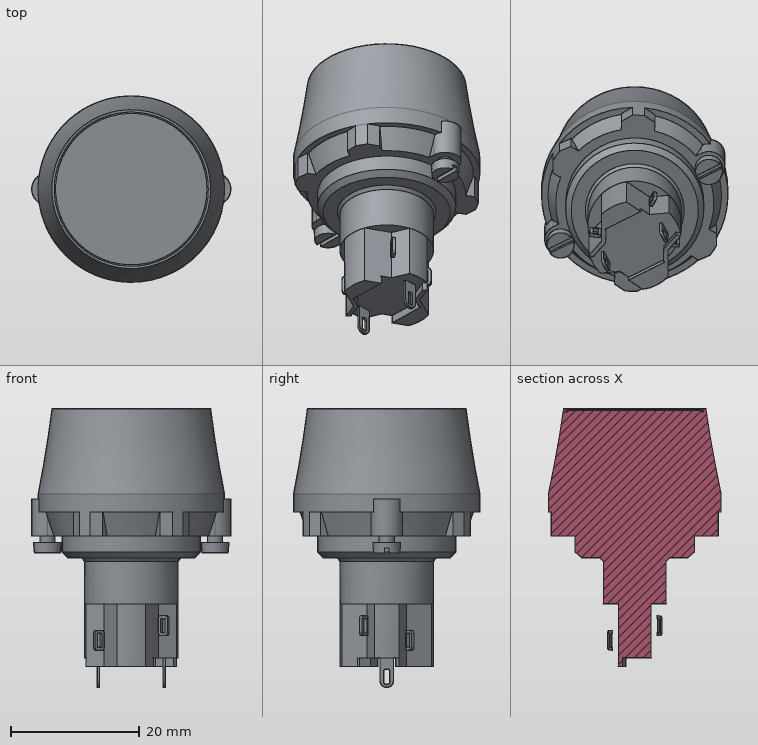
import cadquery as cq
import math

cap_top_z = 43.4
ring_top_z = 30.15
lug_top_z = 29.35
ring_bottom_z = 27.3
skirt_bottom_z = 23.55
screw_head_top_z = 22.6
collar_chamfer_z = 21.1
screw_bottom_z = 20.95
collar_bottom_z = 20.17
barrel_top_z = 19.6
socket_top_z = 13
cavity_top_z = 4.6
socket_bottom_z = 3.25

ring_radius = 29.0 / 2
cap_top_radius = 12.35
cap_middle_radius = 13.3
groove_outer_radius = 24.0 / 2
groove_inner_radius = 23.55 / 2
disc_depth = 0.2
groove_depth = 0.45
skirt_top_radius = 27.0 / 2
skirt_bottom_radius = 24.6 / 2
collar_radius = 21.5 / 2
collar_bottom_radius = 19.8 / 2
neck_radius = 15.35 / 2
barrel_radius = 14.58 / 2
socket_radius = 14.6 / 2

rib_angles = (60, 120, 240, 300)
rib_half_width = 2.6
rib_tip_half_width = 0.9
rib_shoulder_radius = 13.4
rib_root_radius = 8.68

overall_length = 31.0
lug_radius = 2.47
web_root_x = 8.68
lug_x = overall_length / 2 - lug_radius
screw_shank_radius = 2.4 / 2
screw_head_top_radius = 2.15
screw_head_bottom_radius = 2.1
screw_slot_width = 0.75
screw_slot_depth = 0.8

x_lobe_half_width = 1.9
y_lobe_half_width = 2.2
notch_x = 4.2
notch_y = 3.1

cavity_half_height = 4.55
cavity_outer_x = 8.68
wall_corner = (3.77, 2.55)
wall_inner_end = (2.8, 4.2)
wall_outer_end = (6.6, 1.4)

terminal_thickness = 0.4
terminal_x = 5.1
terminal_width = 2.13
terminal_hole_width = 0.85
terminal_hole_bottom_z = 0.5
terminal_hole_top_z = 2.8
hole_corner_radius = 0.2
tab_angle = 35
tab_thickness = 0.5
tab_root_radius = 5.3
tab_tip_radius = 7.03
tab_height = 3.12
tab_corner_radius = 0.5
tab_hole_width = 0.82
tab_hole_height = 2.25
low_tab_z = 7.35
high_tab_z = 9.65


def make_round_body():
    """Cap, ring, skirt, collar and barrel turned as one profile."""
    cap_middle_z = (cap_top_z + ring_top_z) / 2
    body = (
        cq.Workplane("XZ")
        .moveTo(0, cap_top_z)
        .lineTo(cap_top_radius, cap_top_z)
        .threePointArc((cap_middle_radius, cap_middle_z), (ring_radius, ring_top_z))
        .lineTo(ring_radius, ring_bottom_z)
        .lineTo(skirt_top_radius, ring_bottom_z)
        .lineTo(skirt_bottom_radius, skirt_bottom_z)
        .lineTo(collar_radius, skirt_bottom_z)
        .lineTo(collar_radius, collar_chamfer_z)
        .lineTo(collar_bottom_radius, collar_bottom_z)
        .lineTo(neck_radius, collar_bottom_z)
        .lineTo(barrel_radius, barrel_top_z)
        .lineTo(barrel_radius, socket_top_z)
        .lineTo(0, socket_top_z)
        .close()
        .revolve(360, (0, 0), (0, 1))
    )
    groove = (
        cq.Workplane("XY", origin=(0, 0, cap_top_z - groove_depth))
        .circle(groove_outer_radius)
        .circle(groove_inner_radius)
        .extrude(groove_depth)
    )
    recess = (
        cq.Workplane("XY", origin=(0, 0, cap_top_z - disc_depth))
        .circle(groove_outer_radius)
        .extrude(disc_depth)
    )
    return body.cut(groove).cut(recess)


def make_rib(angle):
    """Rib with a tapered tip that ends flush with the ring."""
    height = ring_bottom_z - skirt_bottom_z
    rib = (
        cq.Workplane("XY", origin=(0, 0, skirt_bottom_z))
        .polyline([
            (rib_root_radius, -rib_half_width),
            (rib_shoulder_radius, -rib_half_width),
            (ring_radius, -rib_tip_half_width),
            (ring_radius, rib_tip_half_width),
            (rib_shoulder_radius, rib_half_width),
            (rib_root_radius, rib_half_width),
        ])
        .close()
        .extrude(height)
    )
    rim = cq.Workplane("XY", origin=(0, 0, skirt_bottom_z)).circle(ring_radius).extrude(height)
    return rib.intersect(rim).rotate((0, 0, 0), (0, 0, 1), angle)


def make_lug():
    """Round-nosed lug on the +X side with its screw."""
    lug_height = lug_top_z - skirt_bottom_z
    base = cq.Workplane("XY", origin=(0, 0, skirt_bottom_z))
    nose = base.center(lug_x, 0).circle(lug_radius).extrude(lug_height)
    web = (
        base.center((web_root_x + lug_x) / 2, 0)
        .rect(lug_x - web_root_x, 2 * lug_radius)
        .extrude(ring_bottom_z - skirt_bottom_z)
    )
    screw = (
        cq.Workplane("XZ", origin=(lug_x, 0, 0))
        .moveTo(0, skirt_bottom_z)
        .lineTo(screw_shank_radius, skirt_bottom_z)
        .lineTo(screw_shank_radius, screw_head_top_z)
        .lineTo(screw_head_top_radius, screw_head_top_z)
        .lineTo(screw_head_bottom_radius, screw_bottom_z)
        .lineTo(0, screw_bottom_z)
        .close()
        .revolve(360, (0, 0), (0, 1))
    )
    slot = (
        cq.Workplane("XY", origin=(lug_x, 0, screw_bottom_z))
        .rect(2 * screw_head_top_radius, screw_slot_width)
        .extrude(screw_slot_depth)
    )
    return nose.union(web).union(screw.cut(slot))


def half_turn(points):
    """The same points turned 180 degrees about the axis."""
    return [(-x, -y) for x, y in points]


x_lobe_corner = (math.sqrt(socket_radius**2 - x_lobe_half_width**2), x_lobe_half_width)
y_lobe_corner = (y_lobe_half_width, math.sqrt(socket_radius**2 - y_lobe_half_width**2))


def make_socket():
    """Four-lobed prism with arcs on its lobes."""
    x_far, x_side = x_lobe_corner
    y_side, y_far = y_lobe_corner
    return (
        cq.Workplane("XY", origin=(0, 0, socket_bottom_z))
        .moveTo(x_far, -x_side)
        .threePointArc((socket_radius, 0), (x_far, x_side))
        .lineTo(notch_x, notch_y)
        .lineTo(y_side, y_far)
        .threePointArc((0, socket_radius), (-y_side, y_far))
        .lineTo(-notch_x, notch_y)
        .lineTo(-x_far, x_side)
        .threePointArc((-socket_radius, 0), (-x_far, -x_side))
        .lineTo(-notch_x, -notch_y)
        .lineTo(-y_side, -y_far)
        .threePointArc((0, -socket_radius), (y_side, -y_far))
        .lineTo(notch_x, -notch_y)
        .close()
        .extrude(socket_top_z - socket_bottom_z)
    )


def make_cavity():
    """Bottom cavity, open to the sides except for two opposite V-shaped walls."""
    half_outline = [
        (cavity_outer_x, x_lobe_corner[1]),
        x_lobe_corner,
        wall_outer_end,
        wall_corner,
        wall_inner_end,
        (wall_inner_end[0], cavity_half_height),
        (-cavity_outer_x, cavity_half_height),
    ]
    return (
        cq.Workplane("XY", origin=(0, 0, socket_bottom_z))
        .polyline(half_outline + half_turn(half_outline))
        .close()
        .extrude(cavity_top_z - socket_bottom_z)
    )


def make_terminal():
    """Blade on the +X side with a round tip and a long hole."""
    half_width = terminal_width / 2
    blade = (
        cq.Workplane("YZ", origin=(terminal_x - terminal_thickness / 2, 0, 0))
        .moveTo(-half_width, cavity_top_z)
        .lineTo(-half_width, half_width)
        .threePointArc((0, 0), (half_width, half_width))
        .lineTo(half_width, cavity_top_z)
        .close()
        .extrude(terminal_thickness)
    )
    hole_height = terminal_hole_top_z - terminal_hole_bottom_z
    hole = (
        cq.Workplane("YZ", origin=(terminal_x, 0, terminal_hole_bottom_z + hole_height / 2))
        .rect(terminal_hole_width, hole_height)
        .extrude(terminal_thickness, both=True)
        .edges("|X")
        .fillet(hole_corner_radius)
    )
    return blade.cut(hole)


def make_tab(angle, center_z):
    """Upright blade standing out radially from a notch of the socket."""
    center_radius = (tab_root_radius + tab_tip_radius) / 2
    plane = cq.Workplane("XZ", origin=(center_radius, 0, center_z))
    blade = (
        plane.rect(tab_tip_radius - tab_root_radius, tab_height)
        .extrude(tab_thickness / 2, both=True)
        .edges("|Y")
        .fillet(tab_corner_radius)
    )
    hole = (
        plane.rect(tab_hole_width, tab_hole_height)
        .extrude(tab_thickness, both=True)
        .edges("|Y")
        .fillet(hole_corner_radius)
    )
    return blade.cut(hole).rotate((0, 0, 0), (0, 0, 1), angle)


result = make_round_body().union(make_socket().cut(make_cavity()))

for rib_angle in rib_angles:
    result = result.union(make_rib(rib_angle))

for side_angle in (0, 180):
    for part in (
        make_lug(),
        make_terminal(),
        make_tab(tab_angle, low_tab_z),
        make_tab(-tab_angle, high_tab_z),
    ):
        result = result.union(part.rotate((0, 0, 0), (0, 0, 1), side_angle))